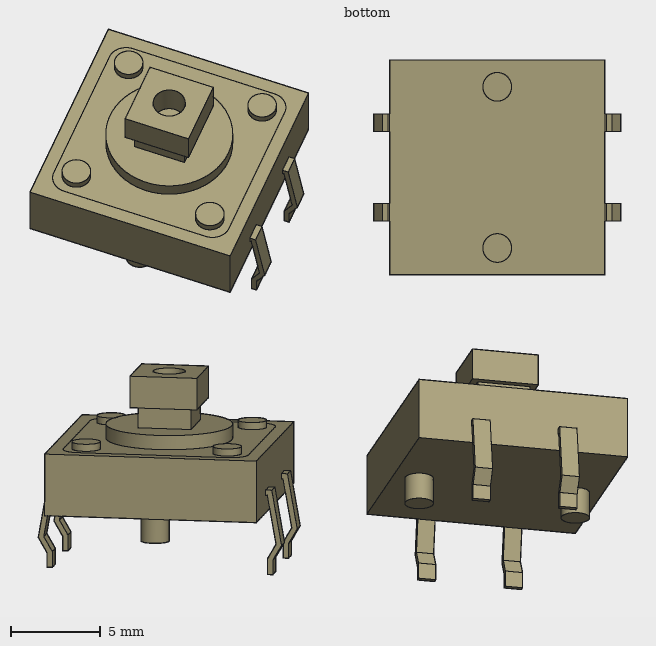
import cadquery as cq
import math


overall_x = 13.8
overall_z = 10.8

housing_side = 12.0
housing_height = 3.5
post_diameter = 1.6
post_length = 1.5
post_offset_y = 4.5
rivet_diameter = 1.6
rivet_height = 0.4
rivet_spacing = 8.0

cover_side = 10.5
cover_corner_radius = 1.0
cover_thickness = 0.3

base_diameter = 7.1
base_height = 0.8
stem_side = 3.0
stem_height = 1.2
head_side = 3.8
head_height = 1.8
head_hole_diameter = 1.8

pin_thickness = 0.3
pin_width = 1.0
pin_spacing_y = 5.0
pin_top_z = 1.3
shoulder_reach = 0.35
knee_z = -1.82
foot_reach = 0.4
ankle_z = -2.68

cover_floor_z = housing_height - cover_thickness
knee_reach = (overall_x - housing_side) / 2
plunger_rise = base_height + stem_height + head_height
pin_tip_z = housing_height + plunger_rise - overall_z


def make_rivets():
    """Four posts that rise from the housing, through the cover, to the rivet tops."""
    return (
        cq.Workplane("XY", origin=(0, 0, cover_floor_z))
        .rect(rivet_spacing, rivet_spacing, forConstruction=True)
        .vertices()
        .circle(rivet_diameter / 2)
        .extrude(cover_thickness + rivet_height)
    )


def make_cover_plate():
    return (
        cq.Workplane("XY", origin=(0, 0, cover_floor_z))
        .rect(cover_side, cover_side)
        .extrude(cover_thickness)
        .edges("|Z")
        .fillet(cover_corner_radius)
    )


def make_housing():
    block = cq.Workplane("XY").rect(housing_side, housing_side).extrude(housing_height)
    posts = (
        cq.Workplane("XY")
        .pushPoints([(0, -post_offset_y), (0, post_offset_y)])
        .circle(post_diameter / 2)
        .extrude(-post_length)
    )
    return block.cut(make_cover_plate()).union(posts).union(make_rivets())


def make_cover():
    plunger_opening = (
        cq.Workplane("XY", origin=(0, 0, cover_floor_z))
        .circle(base_diameter / 2)
        .extrude(cover_thickness)
    )
    return make_cover_plate().cut(make_rivets()).cut(plunger_opening)


def make_plunger():
    return (
        cq.Workplane("XY", origin=(0, 0, cover_floor_z))
        .circle(base_diameter / 2)
        .extrude(cover_thickness + base_height)
        .faces(">Z").workplane()
        .rect(stem_side, stem_side)
        .extrude(stem_height)
        .faces(">Z").workplane()
        .rect(head_side, head_side)
        .extrude(head_height)
        .faces(">Z").workplane()
        .hole(head_hole_diameter, head_height)
    )


def inner_corner(before, corner, after):
    """Corner of the strip's inner edge: the outer corner moved along its mitre line."""
    angle_in = math.atan2(corner[1] - before[1], corner[0] - before[0])
    angle_out = math.atan2(after[1] - corner[1], after[0] - corner[0])
    half_turn = (angle_out - angle_in) / 2
    mitre_length = pin_thickness / math.cos(half_turn)
    mitre_angle = angle_in + half_turn - math.pi / 2
    return (
        corner[0] + mitre_length * math.cos(mitre_angle),
        corner[1] + mitre_length * math.sin(mitre_angle),
    )


def make_pin(side, y):
    """Pin at centre position y on the +X face (side = 1) or the -X face (side = -1)."""
    face_x = housing_side / 2
    foot_x = face_x + foot_reach
    root = (face_x, pin_top_z)
    shoulder = (face_x + shoulder_reach, pin_top_z)
    knee = (face_x + knee_reach, knee_z)
    ankle = (foot_x, ankle_z)
    tip = (foot_x, pin_tip_z)
    outline = [
        root,
        shoulder,
        knee,
        ankle,
        tip,
        (foot_x - pin_thickness, pin_tip_z),
        inner_corner(knee, ankle, tip),
        inner_corner(shoulder, knee, ankle),
        inner_corner(root, shoulder, knee),
        (face_x, pin_top_z - pin_thickness),
    ]
    return (
        cq.Workplane("XZ", origin=(0, y, 0))
        .polyline([(side * x, z) for x, z in outline])
        .close()
        .extrude(pin_width / 2, both=True)
    )


housing = make_housing()
cover = make_cover()
plunger = make_plunger()
pins = [
    make_pin(side, y)
    for side in (-1, 1)
    for y in (-pin_spacing_y / 2, pin_spacing_y / 2)
]

result = cq.Compound.makeCompound(
    [housing.val(), cover.val(), plunger.val(), *[pin.val() for pin in pins]]
)